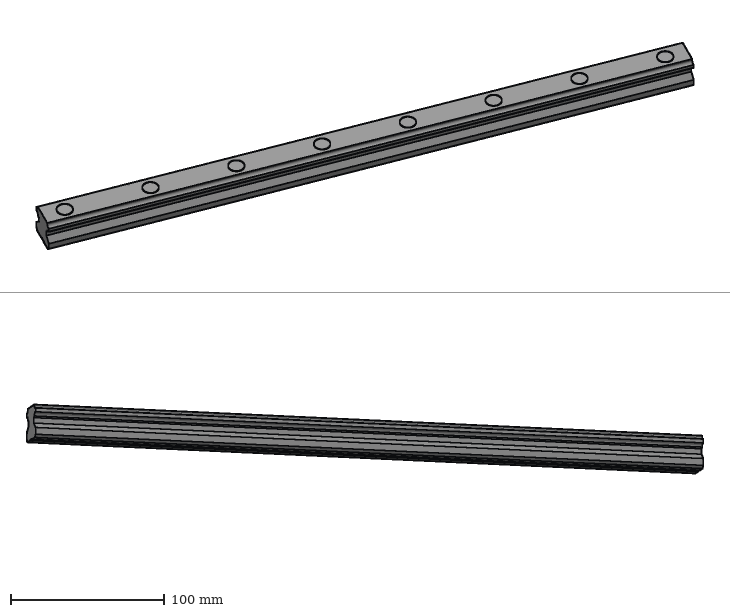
import cadquery as cq

rail_length = 450.0
rail_width = 23.0
rail_height = 22.0

base_side_top = 6.5
neck_bottom = 10.0
neck_top = 13.5
lower_race_bottom = 14.5
lower_race_top = 16.5
upper_race_bottom = 19.5
upper_race_top = 21.0

half_width = rail_width / 2
neck_half_width = 7.0
crown_half_width = 8.5

base_chamfer = 2.0

race_radius = 2.2

groove_width = 3.5
groove_depth = 0.5

recess_count = 8
recess_pitch = 60.0
recess_diameter = 11.0
recess_depth = 0.5


def half_rail():
    """Right half of the rail profile, extruded along Y about the middle."""
    return (
        cq.Workplane("XZ", origin=(0, 0, -rail_height / 2))
        .moveTo(0, groove_depth)
        .lineTo(groove_width / 2, groove_depth)
        .lineTo(groove_width / 2, 0)
        .lineTo(half_width - base_chamfer, 0)
        .lineTo(half_width, base_chamfer)
        .lineTo(half_width, base_side_top)
        .lineTo(neck_half_width, neck_bottom)
        .lineTo(neck_half_width, neck_top)
        .lineTo(crown_half_width, lower_race_bottom)
        .radiusArc((half_width, lower_race_top), race_radius)
        .lineTo(half_width, upper_race_bottom)
        .radiusArc((crown_half_width, upper_race_top), race_radius)
        .lineTo(crown_half_width, rail_height)
        .lineTo(0, rail_height)
        .close()
        .extrude(rail_length / 2, both=True)
    )


def crown_recesses():
    """Round recesses in a centred row, open at the crown."""
    return (
        cq.Workplane("XY", origin=(0, 0, rail_height / 2 - recess_depth))
        .rarray(4.5, recess_pitch, 1, recess_count)
        .circle(recess_diameter / 2)
        .extrude(recess_depth)
    )


right_half = half_rail()
rail = right_half.union(right_half.mirror("YZ")).clean()
result = rail.cut(crown_recesses())